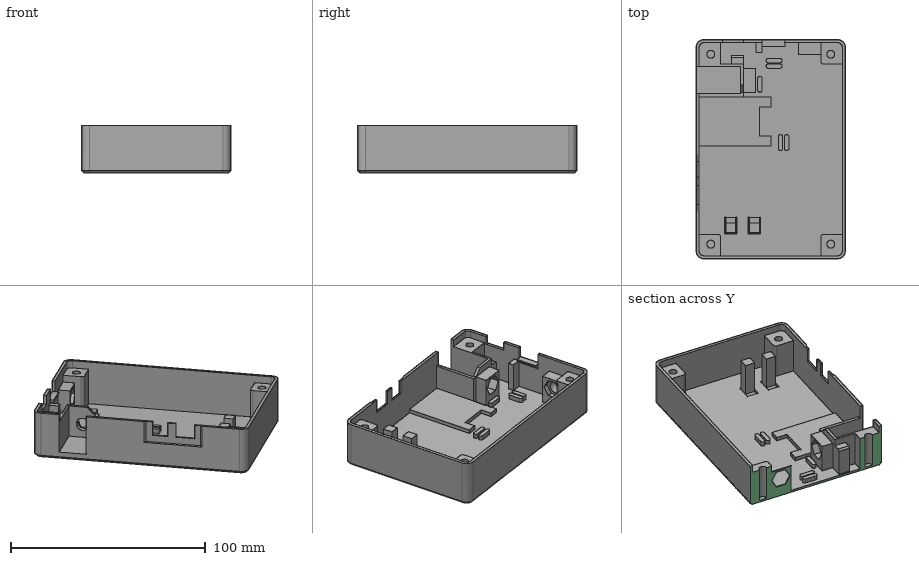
import cadquery as cq

length_x = 76.7
length_y = 112.6
height = 24.4
wall = 1.6
floor_top = 1.5
corner_radius = 4.0
bottom_chamfer = 1.2

boss_top = 20.5
block_top = 16.8

boss_size = 12.6
boss_fillet = 1.5
boss_hole_inset = 7.5
boss_hole_diameter = 4.0

bay_floor = 3.8
bay_y_min = 84.8
bay_y_max = 98.9
bay_x_max = 22.9
bay_slope_rise = boss_top - block_top
bay_outer_x = bay_x_max + wall
bay_outer_y = bay_y_min - wall

nut_block_width = 12.2
nut_block_depth = 6.2
nut_hole_diameter = 6.6
nut_hole_z = 10.9
nut_corner_diameter = 10.4
bay_pocket_depth = 4.7
back_pocket_depth = 2.7
bay_nut_y = 91.5
back_nut_x = 58.7

back_notch_x = (13.5, 24.4)
back_notch_bottom = 19.9
port_notch_x = (33.9, 45.6)
port_notch_bottom = 18.6
port_shelf_reach = 1.9
port_shelf_lip = 0.8
stop_width = 3.0
stop_length = 5.1

lug_width = 6.2
lug_length = 4.4
lug_chamfer = 0.9

recess_y = (23.9, 54.3)
recess_bottom = 13.0
recess_depth = 0.6
recess_side_slope = 0.9
recess_bottom_slope = 0.5
window_bottom = 17.0
window_spans = ((27.8, 37.7), (42.0, 50.0))

pad_height = 2.0
pad_x_max = 38.5
pad_y = (58.0, bay_outer_y)
pad_notch_depth = 6.0
pad_notch_y = (63.0, 78.0)

rib_length = 8.2
rib_width = 2.3
rib_height = 2.4
ribs_along_x = ((40.1, 101.8), (40.1, 99.0))
ribs_along_y = ((32.8, 89.6), (43.4, 59.7), (46.5, 59.7))

button_x = (17.8, 30.0)
tongue_width = 5.3
tongue_thickness = 0.8
tongue_y = (13.4, 21.3)
slit = 0.5
post_length = 5.0
post_top = 18.8


def box(x_range, y_range, z_range):
    """Axis-aligned box between the given limits."""
    sizes = [limits[1] - limits[0] for limits in (x_range, y_range, z_range)]
    corner = (x_range[0], y_range[0], z_range[0])
    return cq.Workplane("XY").box(*sizes, centered=False).translate(corner)


def tray():
    """Outer tray with rounded corners and a chamfered underside."""
    outer = box((0, length_x), (0, length_y), (0, height))
    outer = outer.edges("|Z").fillet(corner_radius)
    outer = outer.faces("<Z").edges().chamfer(bottom_chamfer)
    cavity = box((wall, length_x - wall), (wall, length_y - wall), (floor_top, height))
    return outer.cut(cavity.edges("|Z").fillet(corner_radius - wall))


def corner_bosses():
    """Corner bosses, rounded inside except for the one that joins the jack bay."""
    bosses = box((0, boss_size), (length_y - boss_size, length_y), (floor_top, boss_top))
    for x_side, y_side in ((0, 0), (1, 0), (1, 1)):
        x_start = x_side * (length_x - boss_size)
        y_start = y_side * (length_y - boss_size)
        boss = box(
            (x_start, x_start + boss_size),
            (y_start, y_start + boss_size),
            (floor_top, boss_top),
        )
        inner_edge = f"|Z and {'<X' if x_side else '>X'} and {'<Y' if y_side else '>Y'}"
        bosses = bosses.add(boss.edges(inner_edge).fillet(boss_fillet))
    return bosses.combine()


def boss_holes():
    """Blind screw holes reaching down to the floor."""
    return (
        cq.Workplane("XY", origin=(length_x / 2, length_y / 2, floor_top))
        .rect(length_x - 2 * boss_hole_inset, length_y - 2 * boss_hole_inset, forConstruction=True)
        .vertices()
        .circle(boss_hole_diameter / 2)
        .extrude(height)
    )


def bay_walls():
    """Solid of the jack bay; its inner end slopes down to the lower -Y wall."""
    y_back = length_y - boss_size
    slope_foot = bay_nut_y - nut_block_width / 2
    side = [
        (bay_outer_y, floor_top),
        (y_back, floor_top),
        (y_back, boss_top),
        (slope_foot + bay_slope_rise, boss_top),
        (slope_foot, block_top),
        (bay_outer_y, block_top),
    ]
    return cq.Workplane("YZ").polyline(side).close().extrude(bay_outer_x)


def bay_room():
    """Space inside the jack bay, open at the top and through the -X wall."""
    return box((0, bay_x_max), (bay_y_min, bay_y_max), (bay_floor, height))


def nut_blocks():
    """Blocks behind the bay's inner end and inside the +Y wall."""
    half = nut_block_width / 2
    heights = (floor_top, block_top)
    bay_block = box(
        (bay_x_max, bay_outer_x + nut_block_depth),
        (bay_nut_y - half, bay_nut_y + half),
        heights,
    )
    back_block = box(
        (back_nut_x - half, back_nut_x + half),
        (length_y - wall - nut_block_depth, length_y),
        heights,
    )
    return bay_block.union(back_block)


def nut_seat(pocket_face, outward, pocket_depth):
    """Screw hole with a hexagonal pocket sunk into the block's inner face."""
    plane = cq.Plane(origin=pocket_face, xDir=(outward[1], -outward[0], 0), normal=outward)
    hole_depth = nut_block_depth + wall
    hole = cq.Workplane(plane).circle(nut_hole_diameter / 2).extrude(-hole_depth)
    pocket = cq.Workplane(plane).polygon(6, nut_corner_diameter).extrude(-pocket_depth)
    return hole.union(pocket)


def back_wall_notches():
    """Two notches in the rim of the +Y wall."""
    y_range = (length_y - wall, length_y)
    plain = box(back_notch_x, y_range, (back_notch_bottom, height))
    return plain.union(box(port_notch_x, y_range, (port_notch_bottom, height)))


def port_shelf():
    """Shelf under the port notch, sloping back to the wall at 45 degrees."""
    inner_y = length_y - wall
    front_y = inner_y - port_shelf_reach
    lip_z = port_notch_bottom - port_shelf_lip
    side = [
        (length_y, port_notch_bottom),
        (front_y, port_notch_bottom),
        (front_y, lip_z),
        (inner_y, lip_z - port_shelf_reach),
        (length_y, lip_z - port_shelf_reach),
    ]
    shelf = cq.Workplane("YZ").polyline(side).close()
    return shelf.extrude(port_notch_x[1] - port_notch_x[0]).translate((port_notch_x[0], 0, 0))


def stop_and_lug():
    """Stop beside the port notch and a chamfered lug on the bay wall facing it."""
    heights = (floor_top, block_top)
    stop = box(
        (port_notch_x[0] - stop_width, port_notch_x[0]),
        (length_y - wall - stop_length, length_y - wall),
        heights,
    )
    lug_y = length_y - boss_size
    lug = box((bay_outer_x - lug_width, bay_outer_x), (lug_y, lug_y + lug_length), heights)
    return stop.union(lug.edges(">Y and >Z").chamfer(lug_chamfer))


def side_recess():
    """Shallow recess outside the -X wall, with sloping ends and bottom, and its two windows."""
    y_min, y_max = recess_y
    plan = [
        (0, y_min),
        (0, y_max),
        (recess_depth, y_max - recess_side_slope),
        (recess_depth, y_min + recess_side_slope),
    ]
    side = [
        (0, recess_bottom),
        (recess_depth, recess_bottom + recess_bottom_slope),
        (recess_depth, height),
        (0, height),
    ]
    cutter = cq.Workplane("XY").polyline(plan).close().extrude(height)
    cutter = cutter.intersect(cq.Workplane("XZ").polyline(side).close().extrude(-length_y))
    for window_y in window_spans:
        cutter = cutter.union(box((0, wall), window_y, (window_bottom, height)))
    return cutter


def floor_pad():
    """Low pad between the -X wall and the middle of the floor, notched at its end."""
    heights = (floor_top, floor_top + pad_height)
    pad = box((0, pad_x_max), pad_y, heights)
    return pad.cut(box((pad_x_max - pad_notch_depth, pad_x_max), pad_notch_y, heights))


def floor_ribs():
    """Round-ended ribs standing on the floor."""
    base = cq.Workplane("XY", origin=(0, 0, floor_top))
    across = base.pushPoints(ribs_along_x).slot2D(rib_length, rib_width).extrude(rib_height)
    return across.union(base.pushPoints(ribs_along_y).slot2D(rib_length, rib_width, 90).extrude(rib_height))


def button_slits():
    """U-shaped slits through the floor that free one thinned tongue per button."""
    slits = cq.Workplane("XY")
    for x in button_x:
        half = tongue_width / 2
        opening = box((x - half - slit, x + half + slit), (tongue_y[0] - slit, tongue_y[1]), (0, floor_top))
        slits.add(opening.cut(box((x - half, x + half), tongue_y, (0, tongue_thickness))))
    return slits.combine()


def button_posts():
    """Posts at the free ends of the tongues."""
    posts = cq.Workplane("XY")
    for x in button_x:
        x_range = (x - tongue_width / 2, x + tongue_width / 2)
        posts.add(box(x_range, (tongue_y[0], tongue_y[0] + post_length), (0, post_top)))
    return posts.combine()


fittings = corner_bosses().union(bay_walls()).union(nut_blocks())
fittings = fittings.union(stop_and_lug()).union(floor_pad())
outline = box((0, length_x), (0, length_y), (floor_top, height)).edges("|Z").fillet(corner_radius)

bay_nut_face = (bay_outer_x + nut_block_depth, bay_nut_y, nut_hole_z)
back_nut_face = (back_nut_x, length_y - wall - nut_block_depth, nut_hole_z)

result = (
    tray()
    .union(fittings.intersect(outline))
    .union(floor_ribs())
    .cut(boss_holes())
    .cut(bay_room())
    .cut(nut_seat(bay_nut_face, (1, 0, 0), bay_pocket_depth))
    .cut(nut_seat(back_nut_face, (0, -1, 0), back_pocket_depth))
    .cut(back_wall_notches())
    .union(port_shelf())
    .cut(side_recess())
    .cut(button_slits())
    .union(button_posts())
)